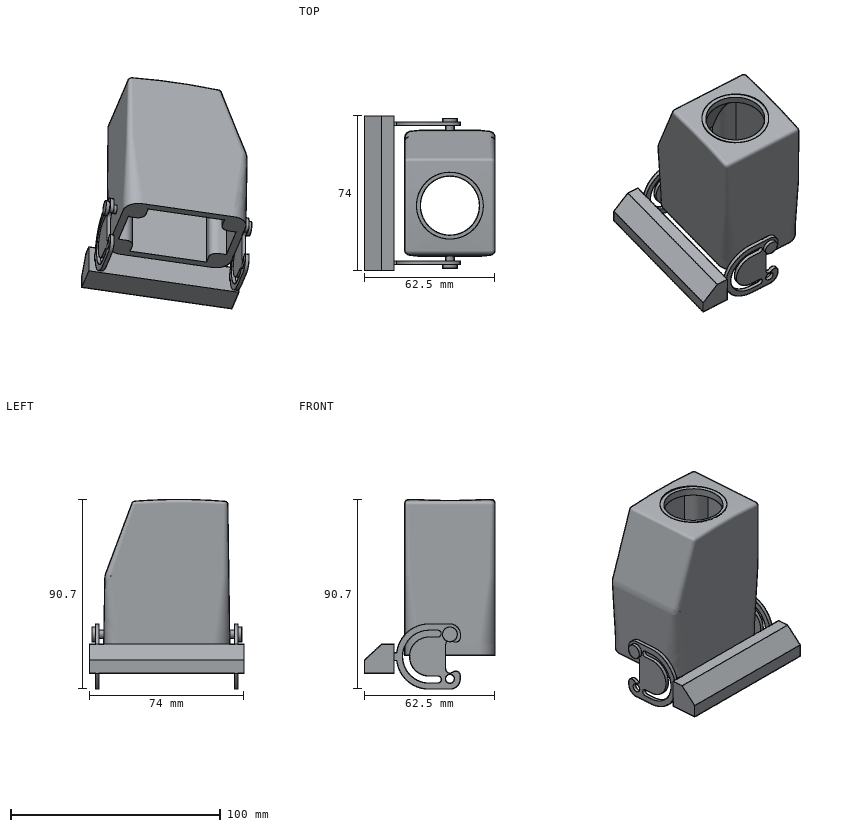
import cadquery as cq
import math


housing_width = 43.2
housing_length = 60.4
housing_height = 74.6
base_height = 5.45
top_corner_height = 73.7
top_front_y = -29.2
top_back_y = 16.3
knee_height = 38.0
knee_y = 29.7
knee_radius = 9.1
base_corner_radius = 7.5
knee_corner_radius = 2.9
top_corner_radius = 1.8
top_edge_radius = 1.7
wall = 3.6
slope_wall = 4.4

entry_y = -5.9
entry_radius = 14.1
spot_face_radius = 16.0
spot_face_depth = 0.5
crown_radius = 272.4

column_y = 18.8
column_flat = 4.4
column_round = 4.0

lever_length = 74.0
lever_z = -0.5
plate_outer_y = 34.1
plate_thickness = 1.8
rim_radius = 15.6
rim_centre_x = -10.0
slot_outer_radius = 12.6
slot_width = 3.3
slot_end_x = -5.8
nose_x = 5.0
tip_radius = 2.3
tip_rise = 9.2
notch_radius = 2.0
bar_left_x = -40.9
bar_width = 14.2
bar_bottom_z = -8.6
bar_chamfer_width = 8.3
bar_chamfer_height = 7.6
neck_width = 3.8

pin_radius = 2.1
head_radius = 3.5
head_outer_y = 35.9

clearance = 0.9

half_width = housing_width / 2
half_length = housing_length / 2
back_slope = (knee_y - top_back_y) / (top_corner_height - knee_height)
front_draft = (top_front_y + half_length) / (top_corner_height - base_height)
spot_face_z = housing_height - spot_face_depth
ceiling_z = spot_face_z - wall
hole_rise = rim_radius - nose_x
pin_z = lever_z + hole_rise
plate_inner_y = plate_outer_y - plate_thickness


def front_y(z):
    return -half_length + front_draft * (z - base_height)


def back_slope_y(z):
    return knee_y - back_slope * (z - knee_height)


def rounded_section(z, y_front, y_back, radius):
    """Horizontal rectangle across the full housing width, with rounded corners."""
    x = half_width
    inset = radius * (1 - math.sqrt(0.5))
    return (
        cq.Workplane("XY", origin=(0, 0, z))
        .moveTo(-x + radius, y_front)
        .lineTo(x - radius, y_front)
        .threePointArc((x - inset, y_front + inset), (x, y_front + radius))
        .lineTo(x, y_back - radius)
        .threePointArc((x - inset, y_back - inset), (x - radius, y_back))
        .lineTo(-x + radius, y_back)
        .threePointArc((-x + inset, y_back - inset), (-x, y_back - radius))
        .lineTo(-x, y_front + radius)
        .threePointArc((-x + inset, y_front + inset), (-x + radius, y_front))
        .close()
        .val()
    )


def ruled_block(lower, upper):
    return cq.Workplane(cq.Solid.makeLoft([lower, upper], True))


def make_shell():
    """Outside of the housing; its corners get tighter towards the top."""
    loft_top = housing_height + clearance
    bottom = rounded_section(0, -half_length, half_length, base_corner_radius)
    base = rounded_section(base_height, -half_length, half_length, base_corner_radius)
    knee = rounded_section(knee_height, front_y(knee_height), knee_y, knee_corner_radius)
    top = rounded_section(loft_top, front_y(loft_top), back_slope_y(loft_top), top_corner_radius)
    upper = ruled_block(base, knee).union(ruled_block(knee, top))

    knee_edges = cq.selectors.BoxSelector(
        (-housing_width, knee_y - base_corner_radius, knee_height - clearance),
        (housing_width, knee_y + clearance, knee_height + clearance),
    )
    upper = upper.edges(knee_edges).fillet(knee_radius)

    crown = (
        cq.Workplane("YZ")
        .center(entry_y, housing_height - crown_radius)
        .circle(crown_radius)
        .extrude(half_width, both=True)
    )
    upper = upper.intersect(crown)
    top_edges = cq.selectors.BoxSelector(
        (-housing_width, -housing_length, top_corner_height - 2 * clearance),
        (housing_width, housing_length, housing_height + clearance),
    )
    upper = upper.edges(top_edges).fillet(top_edge_radius)
    return upper.union(ruled_block(bottom, base))


def make_cavity():
    """Inside of the housing, open at the bottom, with a rounded column left in each corner."""
    inner_x = half_width - wall
    inner_y = half_length - wall
    slope_start_z = knee_height + (knee_y - slope_wall - inner_y) / back_slope
    cavity = (
        cq.Workplane("YZ")
        .moveTo(-inner_y, 0)
        .lineTo(inner_y, 0)
        .lineTo(inner_y, slope_start_z)
        .lineTo(back_slope_y(ceiling_z) - slope_wall, ceiling_z)
        .lineTo(-inner_y, ceiling_z)
        .close()
        .extrude(inner_x, both=True)
    )
    flat_end_x = inner_x - column_flat
    side_x = flat_end_x - column_round
    arc_inset = column_round * (1 - math.sqrt(0.5))
    for x_sign in (-1, 1):
        for y_sign in (-1, 1):
            column = (
                cq.Workplane("XY")
                .moveTo(x_sign * half_width, y_sign * column_y)
                .lineTo(x_sign * flat_end_x, y_sign * column_y)
                .threePointArc(
                    (x_sign * (side_x + arc_inset), y_sign * (column_y + arc_inset)),
                    (x_sign * side_x, y_sign * (column_y + column_round)),
                )
                .lineTo(x_sign * side_x, y_sign * half_length)
                .lineTo(x_sign * half_width, y_sign * half_length)
                .close()
                .extrude(housing_height)
            )
            cavity = cavity.cut(column)
    return cavity


def cylinder_along_y(radius, x, z, y_start, y_end):
    return cq.Workplane(
        cq.Solid.makeCylinder(radius, y_end - y_start, cq.Vector(x, y_start, z), cq.Vector(0, 1, 0))
    )


def make_pin():
    """Pivot pin on the +Y side: a shank rooted in the wall, and a head outside the lever plate."""
    shank_start_y = half_length - wall / 2
    shank = cylinder_along_y(pin_radius, 0, pin_z, shank_start_y, head_outer_y)
    head = cylinder_along_y(head_radius, 0, pin_z, plate_outer_y, head_outer_y)
    return shank.union(head)


def make_housing():
    entry = cq.Workplane("XY", origin=(0, entry_y, ceiling_z)).circle(entry_radius).extrude(housing_height)
    spot_face = (
        cq.Workplane("XY", origin=(0, entry_y, spot_face_z)).circle(spot_face_radius).extrude(housing_height)
    )
    pin = make_pin()
    return (
        make_shell()
        .cut(make_cavity())
        .cut(entry)
        .cut(spot_face)
        .union(pin)
        .union(pin.mirror("XZ"))
    )


def plate_plane():
    """XZ sketch plane on the inner face of the -Y plate, seen from -Y, at mid height of the lever."""
    return cq.Workplane("XZ", origin=(0, -plate_inner_y, lever_z))


def plate_outline():
    """D-shaped plate with a hooked nose at each end of its straight edge."""
    tip_x = nose_x - tip_radius
    reach = tip_radius + notch_radius
    notch_rise = tip_rise - math.sqrt(reach**2 - tip_x**2)
    touch_x = tip_x * notch_radius / reach
    touch_rise = notch_rise + (tip_rise - notch_rise) * notch_radius / reach
    notch_mid = notch_radius * math.sqrt(0.5)
    corner_mid = nose_x * math.sqrt(0.5)
    return (
        plate_plane()
        .moveTo(rim_centre_x, rim_radius)
        .lineTo(0, rim_radius)
        .threePointArc((corner_mid, hole_rise + corner_mid), (nose_x, hole_rise))
        .lineTo(nose_x, tip_rise)
        .threePointArc((tip_x, tip_rise - tip_radius), (touch_x, touch_rise))
        .threePointArc((-notch_mid, notch_rise + notch_mid), (-notch_radius, notch_rise))
        .lineTo(-notch_radius, -notch_rise)
        .threePointArc((-notch_mid, -notch_rise - notch_mid), (touch_x, -touch_rise))
        .threePointArc((tip_x, -tip_rise + tip_radius), (nose_x, -tip_rise))
        .lineTo(nose_x, -hole_rise)
        .threePointArc((corner_mid, -hole_rise - corner_mid), (0, -rim_radius))
        .lineTo(rim_centre_x, -rim_radius)
        .threePointArc((rim_centre_x - rim_radius, 0), (rim_centre_x, rim_radius))
        .close()
        .extrude(plate_thickness)
    )


def plate_slot():
    """U-shaped slot of constant width that follows the rim, with round ends."""
    inner_radius = slot_outer_radius - slot_width
    middle_radius = slot_outer_radius - slot_width / 2
    end_x = slot_end_x + slot_width / 2
    return (
        plate_plane()
        .moveTo(rim_centre_x, slot_outer_radius)
        .lineTo(slot_end_x, slot_outer_radius)
        .threePointArc((end_x, middle_radius), (slot_end_x, inner_radius))
        .lineTo(rim_centre_x, inner_radius)
        .threePointArc((rim_centre_x - inner_radius, 0), (rim_centre_x, -inner_radius))
        .lineTo(slot_end_x, -inner_radius)
        .threePointArc((end_x, -middle_radius), (slot_end_x, -slot_outer_radius))
        .lineTo(rim_centre_x, -slot_outer_radius)
        .threePointArc((rim_centre_x - slot_outer_radius, 0), (rim_centre_x, slot_outer_radius))
        .close()
        .extrude(plate_thickness)
    )


def make_plate():
    """Lever plate on the -Y side, with a neck that reaches the grip bar."""
    bar_right_x = bar_left_x + bar_width
    neck_end_x = rim_centre_x - (rim_radius + slot_outer_radius) / 2
    neck = (
        plate_plane()
        .center((bar_right_x + neck_end_x) / 2, 0)
        .rect(neck_end_x - bar_right_x, neck_width)
        .extrude(plate_thickness)
    )
    pin_holes = (
        plate_plane()
        .pushPoints([(0, hole_rise), (0, -hole_rise)])
        .circle(pin_radius)
        .extrude(plate_thickness)
    )
    return plate_outline().union(neck).cut(plate_slot()).cut(pin_holes)


def make_grip_bar():
    """Bar with its upper outer edge cut off at a slant."""
    return (
        cq.Workplane("XZ")
        .moveTo(bar_left_x, bar_bottom_z)
        .lineTo(bar_left_x + bar_width, bar_bottom_z)
        .lineTo(bar_left_x + bar_width, base_height)
        .lineTo(bar_left_x + bar_chamfer_width, base_height)
        .lineTo(bar_left_x, base_height - bar_chamfer_height)
        .close()
        .extrude(lever_length / 2, both=True)
    )


def make_lever():
    plate = make_plate()
    return make_grip_bar().union(plate).union(plate.mirror("XZ"))


housing = make_housing().solids()
lever = make_lever().solids()
result = cq.Compound.makeCompound([housing.val(), lever.val()])